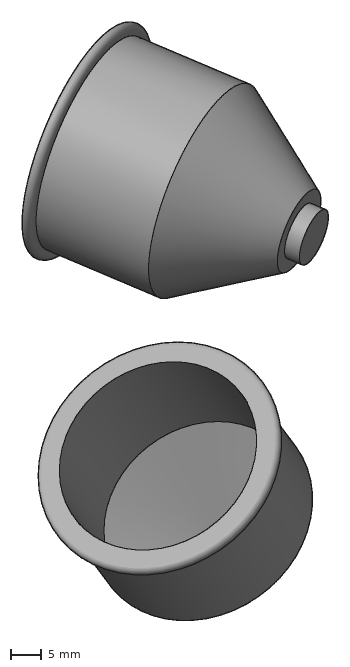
import cadquery as cq

total_length = 44.0
rim_diameter = 42.5
rim_thickness = 2.0
body_diameter = 38.5
wall_thickness = 2.0
body_end = 23.3
nose_end = 41.2
nose_tip_diameter = 15.0
spigot_diameter = 10.0

rim_radius = rim_diameter / 2
body_radius = body_diameter / 2
bore_radius = body_radius - wall_thickness
nose_tip_radius = nose_tip_diameter / 2
spigot_radius = spigot_diameter / 2

bead_radius = rim_thickness / 2
bead_center_radius = rim_radius - bead_radius

bore_straight_end = body_end
bore_apex = nose_end


def revolve_about_x(profile):
    """Close a half profile drawn above the X axis and spin it into a solid."""
    return profile.close().revolve(360, (0, 0, 0), (1, 0, 0))


def make_outside():
    """Rim, cylindrical body, conical nose and end spigot, all solid."""
    profile = (
        cq.Workplane("XY")
        .lineTo(0, bead_center_radius)
        .threePointArc((bead_radius, rim_radius), (rim_thickness, bead_center_radius))
        .lineTo(rim_thickness, body_radius)
        .lineTo(body_end, body_radius)
        .lineTo(nose_end, nose_tip_radius)
        .lineTo(nose_end, spigot_radius)
        .lineTo(total_length, spigot_radius)
        .lineTo(total_length, 0)
    )
    return revolve_about_x(profile)


def make_bore():
    """Straight bore with a pointed conical bottom."""
    profile = (
        cq.Workplane("XY")
        .lineTo(0, bore_radius)
        .lineTo(bore_straight_end, bore_radius)
        .lineTo(bore_apex, 0)
    )
    return revolve_about_x(profile)


result = make_outside().cut(make_bore())